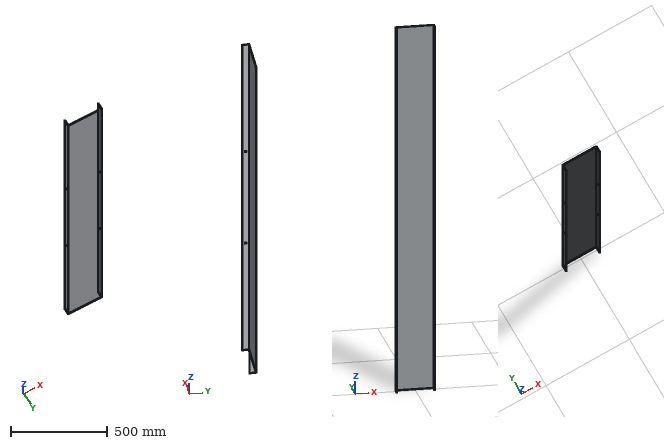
import cadquery as cq

length = 2000.0
width = 202.0
depth = 35.0
sheet = 1.5

hole_diameter = 5.0
hole_spacing = 600.0


def make_channel():
    """Thin U-channel standing along Z, open toward -Y, with its web at +Y."""
    block = cq.Workplane("XY").box(width, depth, length)
    cavity = (
        cq.Workplane("XY")
        .box(width - 2 * sheet, depth, length)
        .translate((0, -sheet, 0))
    )
    return block.cut(cavity)


def make_flange_holes():
    """Pair of round drills along X, centred on the flange depth."""
    return (
        cq.Workplane("YZ")
        .pushPoints([(0, -hole_spacing / 2), (0, hole_spacing / 2)])
        .circle(hole_diameter / 2)
        .extrude(width, both=True)
    )


result = make_channel().cut(make_flange_holes())